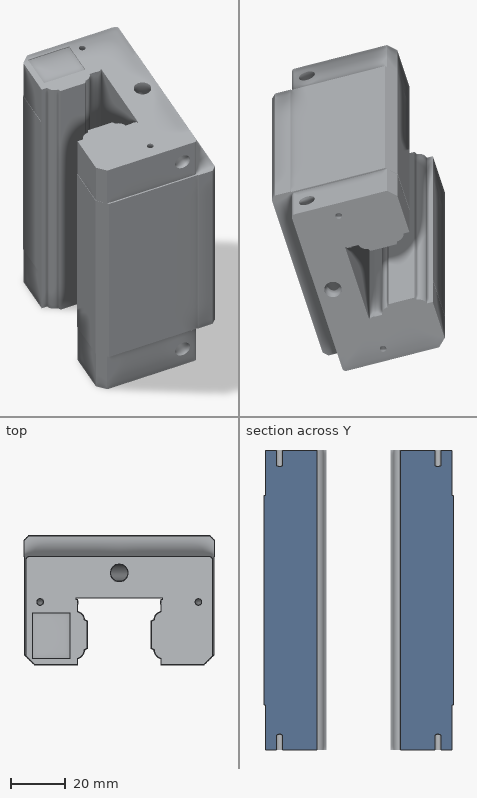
import cadquery as cq
import math

length = 110.0
depth = 47.4
width = 70.0

cap_length = 16.5
body_length = length - 2 * cap_length
foot_half_width = 31.0
body_side_step = 0.2
body_foot_bevel = width / 2 - body_side_step - foot_half_width
shoulder_y = 39.6
body_back_chamfer = 1.8

cap_half_width = 34.2
cap_back_y = 39.8
cap_back_radius = 1.3
cap_foot_y = 0.1
cap_bevel_y = cap_half_width - foot_half_width

channel_half_width = 15.3
channel_floor_y = 24.5
relief_width = 0.5
relief_height = 0.4
rib_half_width = 11.7
rib_low_y = 6.0
rib_high_y = 16.1
rib_lip = 1.1
rib_lip_height = 0.5
rib_root_low_y = 2.3
rib_root_high_y = 19.6
rib_flank_bulge = 0.7
ridge_y = 22.3
ridge_height = 0.2

lube_y = 33.8
end_hole_diameter = 6.4
cross_hole_diameter = 6.0
cross_hole_inset = 7.9
screw_hole_diameter = 2.4
screw_hole_depth = 5.5
screw_hole_x = 29.0
screw_hole_y = 23.1
drill_tip_angle = 118.0

plate_width = 13.8
plate_height = 16.7
plate_depth = 0.3
plate_x = -25.0
plate_y = 10.8


def half_outline(points):
    """Closed outline made of a right-hand half and its mirror image."""
    mirrored = [(-x, y) for x, y in reversed(points)]
    return cq.Workplane("XY").polyline(points + mirrored).close()


def make_body():
    """Steel body with beveled feet and a slightly wider shoulder at the back."""
    side = width / 2
    lower_side = side - body_side_step
    outline = half_outline([
        (foot_half_width, 0),
        (lower_side, body_foot_bevel),
        (lower_side, shoulder_y),
        (side, shoulder_y + body_side_step),
        (side, depth - body_back_chamfer),
        (side - body_back_chamfer, depth),
    ])
    return outline.extrude(body_length / 2, both=True)


def make_cap_bar():
    """Full-length bar whose two ends stand out of the body as the end caps."""
    outline = half_outline([
        (foot_half_width, cap_foot_y),
        (cap_half_width, cap_bevel_y),
        (cap_half_width, cap_back_y),
    ])
    bar = outline.extrude(length / 2, both=True)
    return bar.edges("|Z and >Y").fillet(cap_back_radius)


def channel_half():
    """Right-hand half of the rail channel, waisted by a rounded rib."""
    wall = channel_half_width
    lip_x = rib_half_width + rib_lip
    relief_y = channel_floor_y - relief_height
    lip_low_y = rib_low_y - rib_lip_height
    lip_high_y = rib_high_y + rib_lip_height
    outline = (
        cq.Workplane("XY")
        .moveTo(0, 0)
        .lineTo(wall, 0)
        .lineTo(wall, rib_root_low_y)
        .sagittaArc((lip_x, lip_low_y), rib_flank_bulge)
        .lineTo(rib_half_width, rib_low_y)
        .lineTo(rib_half_width, rib_high_y)
        .lineTo(lip_x, lip_high_y)
        .sagittaArc((wall, rib_root_high_y), rib_flank_bulge)
        .lineTo(wall, ridge_y)
        .lineTo(wall - ridge_height, ridge_y)
        .lineTo(wall, relief_y)
        .lineTo(wall + relief_width, relief_y)
        .lineTo(wall + relief_width, channel_floor_y)
        .lineTo(0, channel_floor_y)
        .close()
    )
    return outline.extrude(length / 2, both=True)


def screw_hole(x):
    """Blind drilled hole with a conical tip."""
    radius = screw_hole_diameter / 2
    tip_length = radius / math.tan(math.radians(drill_tip_angle / 2))
    profile = [
        (0, 0),
        (radius, 0),
        (radius, -screw_hole_depth),
        (0, -screw_hole_depth - tip_length),
    ]
    drill = cq.Workplane("XZ").polyline(profile).close().revolve(360, (0, 0), (0, 1))
    return drill.translate((x, screw_hole_y, length / 2))


def cap_holes():
    """Holes in the top cap: a cross hole, an end hole that meets it, and two screw holes."""
    cross_z = length / 2 - cross_hole_inset
    cross_hole = (
        cq.Workplane("YZ", origin=(-width / 2, lube_y, cross_z))
        .circle(cross_hole_diameter / 2)
        .extrude(width)
    )
    end_hole = (
        cq.Workplane("XY", origin=(0, lube_y, cross_z))
        .circle(end_hole_diameter / 2)
        .extrude(cross_hole_inset)
    )
    holes = cross_hole.union(end_hole)
    for x in (-screw_hole_x, screw_hole_x):
        holes = holes.union(screw_hole(x))
    return holes


def plate_recess():
    """Shallow rectangular pocket in the top end face."""
    top = cq.Workplane("XY", origin=(plate_x, plate_y, length / 2))
    return top.rect(plate_width, plate_height).extrude(-plate_depth)


right_channel = channel_half()
top_holes = cap_holes()

result = make_body().union(make_cap_bar())
result = result.cut(right_channel).cut(right_channel.mirror("YZ"))
result = result.cut(top_holes).cut(top_holes.mirror("XY"))
result = result.cut(plate_recess())